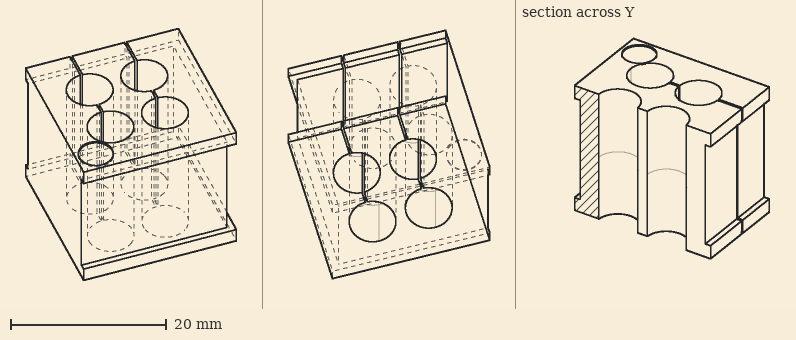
import cadquery as cq

width = 21.0
depth = 21.0
height = 19.0

flange_thickness = 2.0
side_step = 0.8
back_step = 1.0

hole_diameter = 6.0
hole_pitch = 7.5
slit_width = 0.3

label_diameter = 4.5
label_depth = 0.2
label_inset = 2.7
label_x = width / 2 - label_inset
label_y = -depth / 2 + label_inset

hole_grid_y = -back_step / 2
hole_columns = [-hole_pitch / 2, hole_pitch / 2]
hole_rows = [hole_grid_y - hole_pitch / 2, hole_grid_y + hole_pitch / 2]


def flanged_block():
    """Full-width flanges joined by a waist stepped in on both sides and the back."""
    waist_height = height - 2 * flange_thickness
    waist_width = width - 2 * side_step
    waist_depth = depth - back_step
    flange = cq.Workplane("XY").box(width, depth, flange_thickness)
    flange_z = (height - flange_thickness) / 2
    waist = cq.Workplane("XY").box(waist_width, waist_depth, waist_height)
    waist = waist.translate((0, -back_step / 2, 0))
    top_flange = flange.translate((0, 0, flange_z))
    bottom_flange = flange.translate((0, 0, -flange_z))
    return waist.union(top_flange).union(bottom_flange)


def cable_holes():
    """Four round holes through the full height."""
    centers = [(x, y) for x in hole_columns for y in hole_rows]
    holes = cq.Workplane("XY").pushPoints(centers).circle(hole_diameter / 2)
    return holes.extrude(height / 2, both=True)


def entry_slit(row_y):
    """Thin slit from the left side through one row, ending in its right-hand hole."""
    left = -width / 2
    length = hole_columns[-1] - left
    slit = cq.Workplane("XY").box(length, slit_width, height)
    return slit.translate((left + length / 2, row_y, 0))


def label_recess():
    """Shallow round recess in the top face."""
    recess = cq.Workplane("XY").workplane(offset=height / 2 - label_depth)
    return recess.center(label_x, label_y).circle(label_diameter / 2).extrude(label_depth)


result = flanged_block().cut(cable_holes())
for row_y in hole_rows:
    result = result.cut(entry_slit(row_y))
result = result.cut(label_recess())